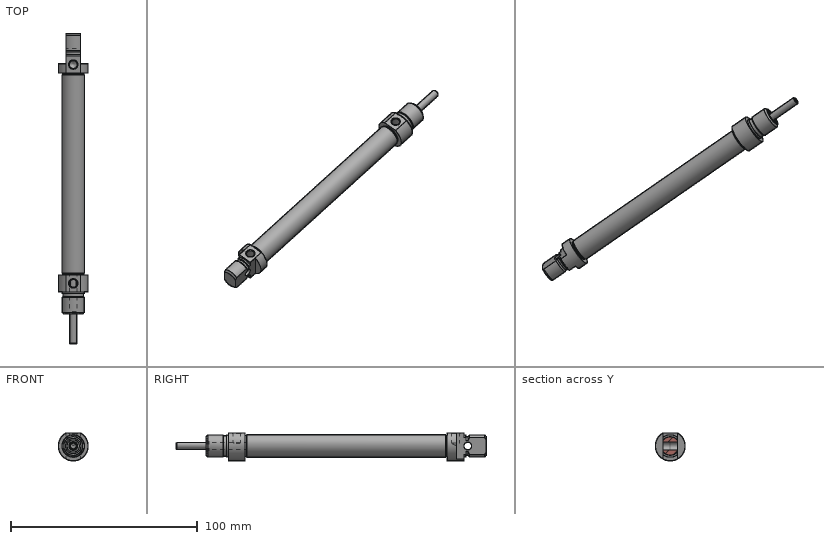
import cadquery as cq
import math


overall_length = 166.0
rod_projection = 16.0
nose_face = overall_length - rod_projection

flange_diameter = 16.0
flange_top = 7.0
flange_length = 9.0
front_flange_end = 138.0
front_flange_start = front_flange_end - flange_length
rear_flange_start = 12.0
rear_flange_end = rear_flange_start + flange_length

port_mouth_diameter = 5.0
port_core_diameter = 4.13
port_depth = 5.5
port_tip_angle = 118.0
port_inset = flange_length / 2

thread_diameter = 12.0
thread_chamfer = 1.0
relief_diameter = 10.0
rear_thread_end = 9.0
relief_start = 9.8
relief_end = 11.0

clevis_width = 8.0
clevis_flat_end = 16.0
pivot_diameter = 4.0
pivot_station = 10.0

groove_diameter = 11.2
groove_start = 138.9
groove_end = 140.6
groove_run_out = 141.0

barrel_diameter = 12.1
collar_diameter = 11.27
collar_length = 0.6
barrel_start = rear_flange_end + collar_length
barrel_end = front_flange_start - collar_length
barrel_chamfer = (barrel_diameter - collar_diameter) / 2

rod_diameter = 4.0
rod_chamfer = 0.5
recess_diameter = 8.2
recess_depth = 0.5
seal_diameter = 6.6
seal_depth = 1.0
wiper_diameter = 4.7
wiper_depth = 1.5


def turned(profile):
    """Solid of revolution about the Y axis from (station, diameter) points."""
    first = profile[0][0]
    last = profile[-1][0]
    points = [(0, -first)]
    points += [(diameter / 2, -station) for station, diameter in profile]
    points += [(0, -last)]
    return cq.Workplane("XY").polyline(points).close().revolve(360, (0, 0, 0), (0, 1, 0))


def cylinder(start, end, diameter):
    return turned([(start, diameter), (end, diameter)])


def flange(start):
    """Round disc with a flat across its top."""
    disc = cylinder(start, start + flange_length, flange_diameter)
    above_flat = cq.Workplane("XY").box(
        flange_diameter, flange_length, flange_diameter, centered=(True, True, False)
    )
    return disc.cut(above_flat.translate((0, -start - flange_length / 2, flange_top)))


def port(station):
    """Countersunk drilling from the flange top, ending in a drill-point cone."""
    mouth = port_mouth_diameter / 2
    core = port_core_diameter / 2
    sink_floor = flange_top - (mouth - core)
    core_floor = flange_top - port_depth
    tip = core_floor - core / math.tan(math.radians(port_tip_angle / 2))
    points = [(0, flange_top), (mouth, flange_top), (core, sink_floor), (core, core_floor), (0, tip)]
    drill = cq.Workplane("XZ").polyline(points).close().revolve(360, (0, 0, 0), (0, 1, 0))
    return drill.translate((0, -station, 0))


def make_rear_cap():
    thread = turned([
        (0, thread_diameter - 2 * thread_chamfer),
        (thread_chamfer, thread_diameter),
        (rear_thread_end, thread_diameter),
        (relief_start, relief_diameter),
        (relief_end, relief_diameter),
        (relief_end, thread_diameter),
        (rear_flange_start, thread_diameter),
    ])
    cap = thread.union(flange(rear_flange_start))
    cap = cap.union(cylinder(rear_flange_end, barrel_start, collar_diameter))
    flat = cq.Workplane("XY").box(flange_diameter, clevis_flat_end, 2 * flange_diameter)
    offset = (clevis_width + flange_diameter) / 2
    for side in (-1, 1):
        cap = cap.cut(flat.translate((side * offset, -clevis_flat_end / 2, 0)))
    pivot = cq.Workplane("YZ").center(-pivot_station, 0).circle(pivot_diameter / 2)
    cap = cap.cut(pivot.extrude(clevis_width, both=True))
    return cap.cut(port(rear_flange_end - port_inset))


def make_front_cap():
    nose = turned([
        (front_flange_end, thread_diameter),
        (groove_start, thread_diameter),
        (groove_start, groove_diameter),
        (groove_end, groove_diameter),
        (groove_run_out, thread_diameter),
        (nose_face - thread_chamfer, thread_diameter),
        (nose_face, thread_diameter - 2 * thread_chamfer),
    ])
    cap = flange(front_flange_start).union(nose)
    cap = cap.union(cylinder(barrel_end, front_flange_start, collar_diameter))
    recess = turned([
        (barrel_end, rod_diameter),
        (nose_face - wiper_depth, rod_diameter),
        (nose_face - wiper_depth, wiper_diameter),
        (nose_face - seal_depth, wiper_diameter),
        (nose_face - seal_depth, seal_diameter),
        (nose_face - recess_depth, seal_diameter),
        (nose_face - recess_depth, recess_diameter),
        (nose_face, recess_diameter),
    ])
    return cap.cut(recess).cut(port(front_flange_end - port_inset))


def make_barrel():
    return turned([
        (barrel_start, collar_diameter),
        (barrel_start + barrel_chamfer, barrel_diameter),
        (barrel_end - barrel_chamfer, barrel_diameter),
        (barrel_end, collar_diameter),
    ])


def make_rod():
    return turned([
        (barrel_end, rod_diameter),
        (overall_length - rod_chamfer, rod_diameter),
        (overall_length, rod_diameter - 2 * rod_chamfer),
    ])


rear_cap = make_rear_cap()
barrel = make_barrel()
front_cap = make_front_cap()
rod = make_rod()

result = cq.Compound.makeCompound([rear_cap.val(), barrel.val(), front_cap.val(), rod.val()])